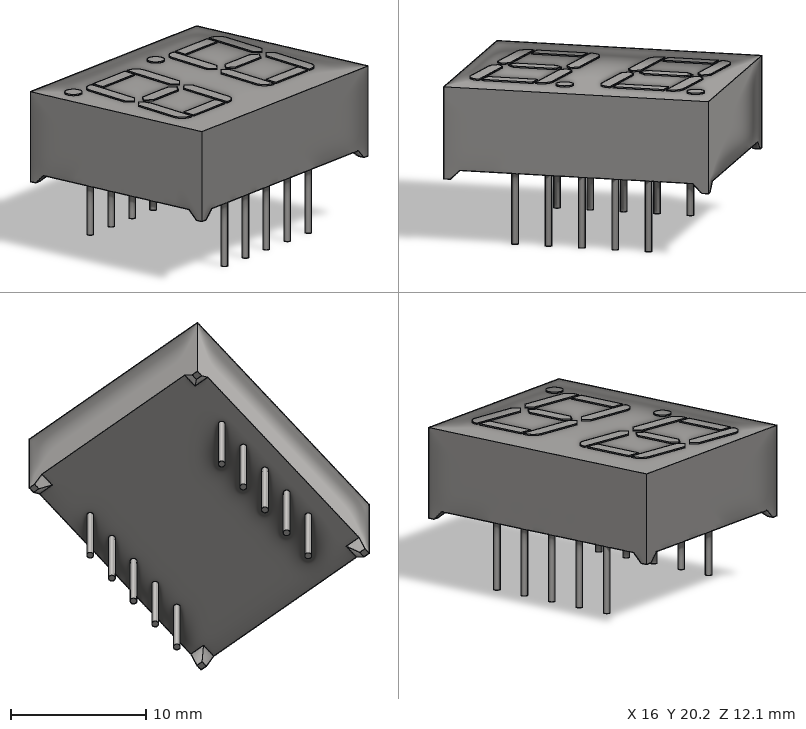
import cadquery as cq
import math

BODY_X = 16.0
BODY_Y = 20.2
BODY_HEIGHT = 6.99

RELIEF_DEPTH = 0.7
FOOT_FLAT = 0.5

PIN_DIAMETER = 0.5
PIN_LENGTH_BELOW_FEET = 5.0
PINS_PER_ROW = 5
PIN_PITCH = 2.55
PIN_ROW_SPACING = 12.5

SEGMENT_HEIGHT = 0.1
SEGMENT_WIDTH = 1.0
SLANT = math.tan(math.radians(8.2))
DIGIT_LENGTH = 10.5
DIGIT_PITCH = 10.0
DIGIT_CENTER_X = -0.05
DIGIT_CENTER_Y = 0.18
LONG_BAR_OFFSET = 2.67
LONG_BAR_CORNER_RADIUS = 0.87
NEAR_TIP = 0.16
FAR_TIP = 0.28
SHORT_BAR_GAP = 0.25
MIDDLE_BAR_LENGTH = 4.06
MIDDLE_BAR_SHIFT = 0.12
DOT_DIAMETER = 1.3
DOT_X = -5.21
DOT_Y = -3.62


def relief(width, length, plane):
    """Trapezoidal channel under the body, with 45 degree sides."""
    half_mouth = width / 2 - FOOT_FLAT
    half_roof = half_mouth - RELIEF_DEPTH
    outline = [
        (-half_mouth, 0),
        (-half_roof, RELIEF_DEPTH),
        (half_roof, RELIEF_DEPTH),
        (half_mouth, 0),
    ]
    return cq.Workplane(plane).polyline(outline).close().extrude(length / 2, both=True)


def make_body():
    block = cq.Workplane("XY").box(BODY_X, BODY_Y, BODY_HEIGHT, centered=(True, True, False))
    block = block.cut(relief(BODY_X, BODY_Y, "XZ"))
    return block.cut(relief(BODY_Y, BODY_X, "YZ"))


def make_pins():
    return (
        cq.Workplane("XY", origin=(0, 0, -PIN_LENGTH_BELOW_FEET))
        .rarray(PIN_ROW_SPACING, PIN_PITCH, 2, PINS_PER_ROW)
        .circle(PIN_DIAMETER / 2)
        .extrude(PIN_LENGTH_BELOW_FEET + RELIEF_DEPTH)
    )


def raised(outline):
    """Plate of segment thickness on the XY plane."""
    return cq.Workplane("XY").polyline(outline).close().extrude(SEGMENT_HEIGHT)


def slanted(x, y):
    """Shift a point along Y so that lines along X follow the slant of the digit."""
    return (x, y - SLANT * x)


def long_bar(tip_x, x_side, y_side):
    """Bar along X: a right-angled point at the middle, a rounded corner at the outer end."""
    cos_slant = 1 / math.hypot(1, SLANT)
    half_width = SEGMENT_WIDTH / 2
    half_rise = half_width / cos_slant
    outer_x = x_side * DIGIT_LENGTH / 2
    tip_y = y_side * LONG_BAR_OFFSET
    root_x = tip_x + x_side * half_width * cos_slant
    lean = half_width * SLANT * cos_slant
    outline = [
        slanted(tip_x, tip_y),
        slanted(root_x + lean, tip_y + half_rise),
        slanted(outer_x, tip_y + half_rise),
        slanted(outer_x, tip_y - half_rise),
        slanted(root_x - lean, tip_y - half_rise),
    ]
    corner = slanted(outer_x, tip_y + y_side * half_rise)
    nearest = cq.selectors.NearestToPointSelector((*corner, SEGMENT_HEIGHT / 2))
    return raised(outline).edges("|Z").edges(nearest).fillet(LONG_BAR_CORNER_RADIUS)


def short_bar(x_side):
    """Bar along Y at one end of the digit, with slanted ends."""
    outer_x = x_side * DIGIT_LENGTH / 2
    inner_x = outer_x - x_side * SEGMENT_WIDTH
    half_length = LONG_BAR_OFFSET - SEGMENT_WIDTH / 2 - SHORT_BAR_GAP
    return raised([
        slanted(outer_x, half_length),
        slanted(inner_x, half_length),
        slanted(inner_x, -half_length),
        slanted(outer_x, -half_length),
    ])


def middle_bar():
    """Bar along Y at the middle of the digit, pointed at both ends."""
    half_width = SEGMENT_WIDTH / 2
    half_length = MIDDLE_BAR_LENGTH / 2
    shoulder = half_length - half_width
    bar = raised([
        (0, half_length),
        (half_width, shoulder),
        (half_width, -shoulder),
        (0, -half_length),
        (-half_width, -shoulder),
        (-half_width, shoulder),
    ])
    return bar.translate((MIDDLE_BAR_SHIFT, 0, 0))


def make_digit():
    dot = cq.Workplane("XY").center(DOT_X, DOT_Y).circle(DOT_DIAMETER / 2).extrude(SEGMENT_HEIGHT)
    digit = dot.add(middle_bar())
    for x_side in (-1, 1):
        digit = digit.add(short_bar(x_side))
        for y_side in (-1, 1):
            tip = FAR_TIP if x_side == y_side else NEAR_TIP
            digit = digit.add(long_bar(x_side * tip, x_side, y_side))
    return digit


def place_digit(part, center_y):
    """Join one digit to the top face of the body."""
    position = cq.Vector(DIGIT_CENTER_X, center_y, BODY_HEIGHT)
    for segment in make_digit().vals():
        part = part.union(cq.Workplane(segment.translate(position)))
    return part


result = make_body().union(make_pins())
for digit_side in (-1, 1):
    result = place_digit(result, DIGIT_CENTER_Y + digit_side * DIGIT_PITCH / 2)